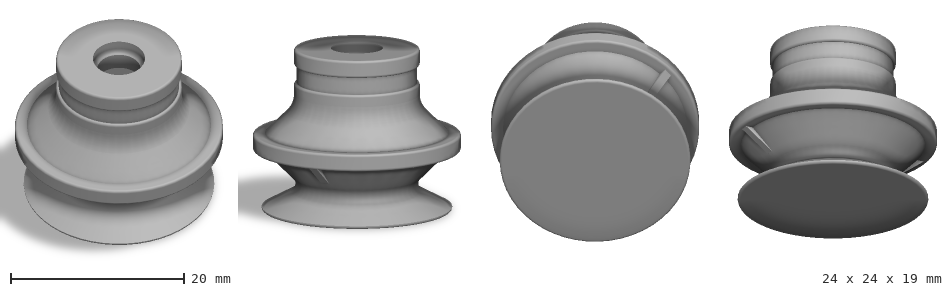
import cadquery as cq
import math

total_height = 19.0

collar_radius = 14.5 / 2
groove_radius = 13.9 / 2
groove_bottom = 15.0
groove_top = 17.0
edge_round = collar_radius - groove_radius

ring_radius = 24 / 2
ring_bottom = 7.0
ring_top = 9.0
cone_base_radius = 10.6
cone_angle = math.radians(45)
shoulder_radius = 3.0

lip_radius = 11.0
lip_edge_height = 0.35
neck_radius = 7.08
neck_round = 1.0

bore_top_radius = 6 / 2
bore_radius = 5.0 / 2
bore_step_round = bore_top_radius - bore_radius
bore_step_depth = 1.55
bore_depth = 3.5

rib_width = 1.0
rib_reach = 11.45
rib_bottom = 4.55

shoulder_cone_radius = collar_radius + shoulder_radius * (1 - math.cos(cone_angle))
shoulder_cone_z = ring_top + (cone_base_radius - shoulder_cone_radius) * math.tan(cone_angle)
shoulder_top_z = shoulder_cone_z + shoulder_radius * math.sin(cone_angle)

neck_center_radius = neck_radius + neck_round
neck_top_radius = neck_center_radius - neck_round * math.sin(cone_angle)
neck_top_z = ring_bottom - (cone_base_radius - neck_top_radius) * math.tan(cone_angle)
neck_center_z = neck_top_z - neck_round * math.cos(cone_angle)

center_reach = lip_radius - neck_center_radius
center_rise = neck_center_z - lip_edge_height
lip_angle = math.atan2(center_rise, center_reach)
lip_angle -= math.asin(neck_round / math.hypot(center_reach, center_rise))
neck_bottom_radius = neck_center_radius - neck_round * math.sin(lip_angle)
neck_bottom_z = neck_center_z - neck_round * math.cos(lip_angle)


def make_body():
    """Revolve the solid outer shape; negative arc radii are convex, positive ones concave."""
    profile = (
        cq.Workplane("XZ")
        .lineTo(lip_radius - edge_round, 0)
        .radiusArc((lip_radius, edge_round), -edge_round)
        .lineTo(lip_radius, lip_edge_height)
        .lineTo(neck_bottom_radius, neck_bottom_z)
        .radiusArc((neck_top_radius, neck_top_z), neck_round)
        .lineTo(cone_base_radius, ring_bottom)
        .lineTo(ring_radius - edge_round, ring_bottom)
        .radiusArc((ring_radius, ring_bottom + edge_round), -edge_round)
        .lineTo(ring_radius, ring_top - edge_round)
        .radiusArc((ring_radius - edge_round, ring_top), -edge_round)
        .lineTo(cone_base_radius, ring_top)
        .lineTo(shoulder_cone_radius, shoulder_cone_z)
        .radiusArc((collar_radius, shoulder_top_z), shoulder_radius)
        .lineTo(collar_radius, groove_bottom - edge_round)
        .radiusArc((groove_radius, groove_bottom), -edge_round)
        .lineTo(groove_radius, groove_top)
        .radiusArc((collar_radius, groove_top + edge_round), -edge_round)
        .lineTo(collar_radius, total_height - edge_round)
        .radiusArc((collar_radius - edge_round, total_height), -edge_round)
        .lineTo(0, total_height)
        .close()
    )
    return profile.revolve(360, (0, 0), (0, 1))


def make_bore():
    """Blind bore whose wide mouth narrows through a concave rounding."""
    step_z = total_height - bore_step_depth
    floor_z = total_height - bore_depth
    profile = (
        cq.Workplane("XZ")
        .moveTo(0, floor_z)
        .lineTo(bore_radius, floor_z)
        .lineTo(bore_radius, step_z)
        .radiusArc((bore_top_radius, step_z + bore_step_round), -bore_step_round)
        .lineTo(bore_top_radius, total_height)
        .lineTo(0, total_height)
        .close()
    )
    return profile.revolve(360, (0, 0), (0, 1))


def make_ribs():
    """One slab through the axis; only its two sloping ends stand out of the lower cone."""
    inner_reach = cone_base_radius - (ring_bottom - rib_bottom) / math.tan(cone_angle)
    outline = [
        (-inner_reach, rib_bottom),
        (inner_reach, rib_bottom),
        (rib_reach, ring_bottom),
        (-rib_reach, ring_bottom),
    ]
    return cq.Workplane("XZ").polyline(outline).close().extrude(rib_width / 2, both=True)


result = make_body().union(make_ribs()).cut(make_bore())